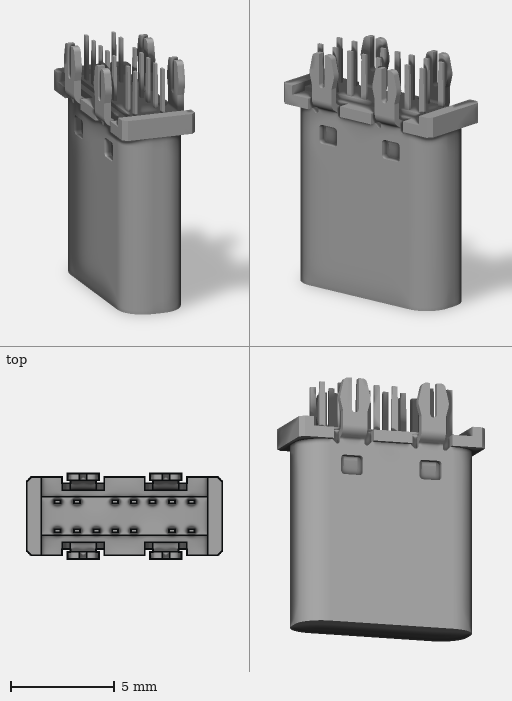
import cadquery as cq
import math

shell_length = 8.98
shell_width = 3.2
shell_corner_radius = 1.32
shell_height = 9.0
wall = 0.35
core_face_y = shell_width / 2 - wall

collar_length = 9.5
collar_width = 3.8
collar_top = 10.01
collar_corner_chamfer = 0.23
channel_length = 8.1
channel_width = 1.87
channel_floor = 9.75
ledge_floor = 9.54

part_height = 12.0
clip_x = 2.0
clip_neck_width = 1.25
clip_bulge_width = 1.55
clip_tip_width = 0.75
clip_tip_radius = 0.24
clip_tip_slope = math.radians(13)
clip_span = 4.16
clip_outer_y = clip_span / 2
clip_neck_top = 10.35
bulge_bottom = 10.8
bulge_top = 11.22
bulge_flat_width = 1.49
clip_slot_width = 0.36
clip_slot_bottom = 10.3
bend_top = 9.62
bend_angle = math.radians(60)
bend_inner_radius = 0.12

clip_notch_width = 2.04
relief_bottom = 8.8
relief_radius = 0.13

window_width = 1.13
window_bottom = 7.31
window_top = 8.27
window_corner_radius = 0.18
latch_width = 0.72
latch_bottom = 7.38
latch_ramp_top = 8.05
latch_crest_top = 8.17
latch_rise = 0.1

pin_row_y = 0.71
pin_width = 0.3
pin_tip_width = 0.26
pin_thickness = 0.15
pin_taper_start = 11.0
shared_pin_x = [-3.25, -2.3, -0.45, 0.45, 2.3, 3.25]
odd_pin_x = 1.35


def box(x_range, y_range, z_range):
    """Box between the given limits."""
    size = [high - low for low, high in (x_range, y_range, z_range)]
    corner = cq.Vector(x_range[0], y_range[0], z_range[0])
    return cq.Workplane(cq.Solid.makeBox(*size, pnt=corner))


def make_shell():
    body = cq.Workplane("XY").rect(shell_length, shell_width).extrude(shell_height)
    return body.edges("|Z").fillet(shell_corner_radius)


def make_collar():
    collar = (
        cq.Workplane("XY", origin=(0, 0, shell_height))
        .rect(collar_length, collar_width)
        .extrude(collar_top - shell_height)
        .edges("|Z")
        .chamfer(collar_corner_chamfer)
    )
    channel_x = (-channel_length / 2, channel_length / 2)
    collar = collar.cut(box(channel_x, (-collar_width, collar_width), (channel_floor, collar_top)))
    for ledge_y in ((-collar_width, -channel_width / 2), (channel_width / 2, collar_width)):
        collar = collar.cut(box(channel_x, ledge_y, (ledge_floor, collar_top)))
    return collar


def clip_clearance():
    """Collar notch and bend relief around one clip, centred on X = 0 on the -Y side."""
    notch = box(
        (-clip_notch_width / 2, clip_notch_width / 2),
        (-collar_width, -core_face_y),
        (shell_height, collar_top),
    )
    neck = clip_neck_width / 2
    centre_x = neck + relief_radius
    centre_z = relief_bottom + relief_radius
    diagonal = relief_radius * math.sqrt(0.5)
    ramp_x = centre_x + diagonal
    ramp_z = centre_z - diagonal
    relief = (
        cq.Workplane("XZ", origin=(0, -core_face_y, 0))
        .moveTo(neck, shell_height)
        .lineTo(neck, centre_z)
        .threePointArc((centre_x, relief_bottom), (ramp_x, ramp_z))
        .lineTo(ramp_x + shell_height - ramp_z, shell_height)
        .close()
        .extrude(wall)
    )
    return notch.union(relief).union(relief.mirror("YZ"))


def clip_bend_profile():
    """Side section of the clip sheet: shell wall, S-bend outwards, upright leg."""
    inner = bend_inner_radius
    outer = inner + wall
    sine = math.sin(bend_angle)
    cosine = math.cos(bend_angle)
    half_sine = math.sin(bend_angle / 2)
    half_cosine = math.cos(bend_angle / 2)
    offset = clip_outer_y - shell_width / 2
    slope_run = offset - (inner + outer) * (1 - cosine)
    bend_bottom = bend_top - (inner + outer) * sine - slope_run * cosine / sine
    upper_y = clip_outer_y - outer
    lower_y = core_face_y + outer

    def upper(radius, run, drop):
        return (-(upper_y + radius * run), bend_top - radius * drop)

    def lower(radius, run, rise):
        return (-(lower_y - radius * run), bend_bottom + radius * rise)

    root_z = shell_height - wall
    return (
        cq.Workplane("YZ", origin=(-clip_bulge_width / 2, 0, 0))
        .moveTo(-core_face_y, root_z)
        .lineTo(*lower(outer, 1, 0))
        .threePointArc(lower(outer, half_cosine, half_sine), lower(outer, cosine, sine))
        .lineTo(*upper(inner, cosine, sine))
        .threePointArc(upper(inner, half_cosine, half_sine), upper(inner, 1, 0))
        .lineTo(-(clip_outer_y - wall), part_height)
        .lineTo(-clip_outer_y, part_height)
        .lineTo(*upper(outer, 1, 0))
        .threePointArc(upper(outer, half_cosine, half_sine), upper(outer, cosine, sine))
        .lineTo(*lower(inner, cosine, sine))
        .threePointArc(lower(inner, half_cosine, half_sine), lower(inner, 1, 0))
        .lineTo(-shell_width / 2, root_z)
        .close()
        .extrude(clip_bulge_width)
    )


def clip_outline():
    """Front outline of the clip: neck, rounded bulge and slotted tip."""
    neck = clip_neck_width / 2
    bulge = clip_bulge_width / 2
    bulge_end = bulge_flat_width / 2
    bulge_middle = (bulge_bottom + bulge_top) / 2
    tip = clip_tip_width / 2
    tip_centre_z = part_height - clip_tip_radius

    def tip_corner(angle):
        """Distance from the clip axis and height on the rounded tip corner."""
        x = tip + clip_tip_radius * math.cos(angle)
        return x, tip_centre_z + clip_tip_radius * math.sin(angle)

    corner_x, corner_z = tip_corner(clip_tip_slope)
    corner_mid_x, corner_mid_z = tip_corner((clip_tip_slope + math.pi / 2) / 2)
    slot_radius = clip_slot_width / 2
    outline = (
        cq.Workplane("XZ")
        .moveTo(-neck, 0)
        .lineTo(neck, 0)
        .lineTo(neck, clip_neck_top)
        .lineTo(bulge_end, bulge_bottom)
        .threePointArc((bulge, bulge_middle), (bulge_end, bulge_top))
        .lineTo(corner_x, corner_z)
        .threePointArc((corner_mid_x, corner_mid_z), (tip, part_height))
        .lineTo(-tip, part_height)
        .threePointArc((-corner_mid_x, corner_mid_z), (-corner_x, corner_z))
        .lineTo(-bulge_end, bulge_top)
        .threePointArc((-bulge, bulge_middle), (-bulge_end, bulge_bottom))
        .lineTo(-neck, clip_neck_top)
        .close()
        .extrude(clip_outer_y)
    )
    slot = (
        cq.Workplane("XZ")
        .moveTo(-slot_radius, part_height)
        .lineTo(-slot_radius, clip_slot_bottom + slot_radius)
        .threePointArc((0, clip_slot_bottom), (slot_radius, clip_slot_bottom + slot_radius))
        .lineTo(slot_radius, part_height)
        .close()
        .extrude(clip_outer_y)
    )
    return outline.cut(slot)


def make_clip():
    return clip_bend_profile().intersect(clip_outline())


def latch_window():
    """Rounded window through the shell wall, less the latch ramp standing in it."""
    window = (
        cq.Workplane("XZ", origin=(0, -core_face_y, (window_bottom + window_top) / 2))
        .rect(window_width, window_top - window_bottom)
        .extrude(wall)
        .edges("|Y")
        .fillet(window_corner_radius)
    )
    crest_y = -(core_face_y + latch_rise)
    latch = (
        cq.Workplane("YZ", origin=(-latch_width / 2, 0, 0))
        .moveTo(-core_face_y, latch_bottom)
        .lineTo(crest_y, latch_ramp_top)
        .lineTo(crest_y, latch_crest_top)
        .lineTo(-core_face_y, window_top)
        .close()
        .extrude(latch_width)
    )
    return window.cut(latch)


def make_pin(x, y):
    """Flat pin with a slightly narrowed tip."""
    half = pin_width / 2
    half_tip = pin_tip_width / 2
    outline = [
        (-half, shell_height),
        (half, shell_height),
        (half, pin_taper_start),
        (half_tip, part_height),
        (-half_tip, part_height),
        (-half, pin_taper_start),
    ]
    pin = cq.Workplane("XZ").polyline(outline).close().extrude(pin_thickness / 2, both=True)
    return pin.translate((x, y, 0))


def place(feature, x, turn):
    """Move a feature along the -Y side, then turn it about the Z axis."""
    return feature.translate((x, 0, 0)).rotate((0, 0, 0), (0, 0, 1), turn)


result = make_shell().union(make_collar())

clearance = clip_clearance()
window_cut = latch_window()
clip = make_clip()
for turn in (0, 180):
    for side_x in (-clip_x, clip_x):
        result = result.cut(place(clearance, side_x, turn))
        result = result.cut(place(window_cut, side_x, turn))
        result = result.union(place(clip, side_x, turn))

for row_side in (-1, 1):
    for pin_x in shared_pin_x + [row_side * odd_pin_x]:
        result = result.union(make_pin(pin_x, row_side * pin_row_y))